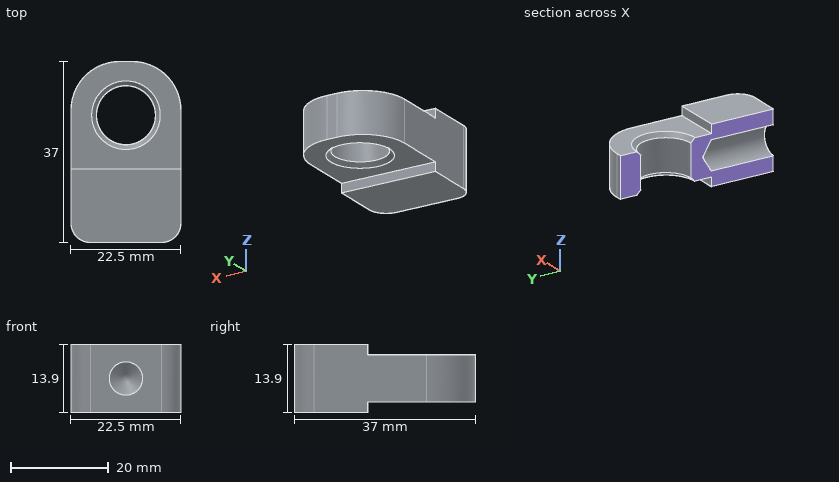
import cadquery as cq
import math

WIDTH = 22.5
LENGTH = 37.0
BLOCK_HEIGHT = 13.9
BLOCK_LENGTH = 15.0
BLOCK_CORNER_RADIUS = 4.0

EYE_THICKNESS = 9.7
EYE_CORNER_RADIUS = 10.0
EYE_HOLE_DIAMETER = 12.0
EYE_HOLE_CHAMFER = 1.0
EYE_CENTER_Y = 26.0

DRILL_DIAMETER = 6.8
DRILL_DEPTH = BLOCK_LENGTH
DRILL_POINT_ANGLE = 118.0


def box_along_y(start_y, end_y, height):
    """Full-width box between two Y positions, centred on X and Z."""
    return (
        cq.Workplane("XY")
        .box(WIDTH, end_y - start_y, height, centered=(True, False, True))
        .translate((0, start_y, 0))
    )


def make_block():
    """Thick shank block with its two end corners rounded."""
    block = box_along_y(0, BLOCK_LENGTH, BLOCK_HEIGHT)
    return block.edges("|Z and <Y").fillet(BLOCK_CORNER_RADIUS)


def make_eye_plate():
    """Thin plate with a rounded end and a through hole chamfered on both faces."""
    plate = box_along_y(BLOCK_LENGTH, LENGTH, EYE_THICKNESS)
    plate = plate.edges("|Z and >Y").fillet(EYE_CORNER_RADIUS)
    plate = plate.faces(">Z").workplane(origin=(0, EYE_CENTER_Y, 0)).hole(EYE_HOLE_DIAMETER)
    hole_rims = cq.selectors.RadiusNthSelector(0)
    return plate.faces("<Z or >Z").edges("%CIRCLE").edges(hole_rims).chamfer(EYE_HOLE_CHAMFER)


def make_drill():
    """Drill shape along +Y from the end face: a cylinder with a conical point."""
    radius = DRILL_DIAMETER / 2
    point_length = radius / math.tan(math.radians(DRILL_POINT_ANGLE / 2))
    half_section = [(0, 0), (radius, 0), (radius, DRILL_DEPTH), (0, DRILL_DEPTH + point_length)]
    return cq.Workplane("XY").polyline(half_section).close().revolve(360, (0, 0, 0), (0, 1, 0))


result = make_block().union(make_eye_plate()).cut(make_drill())